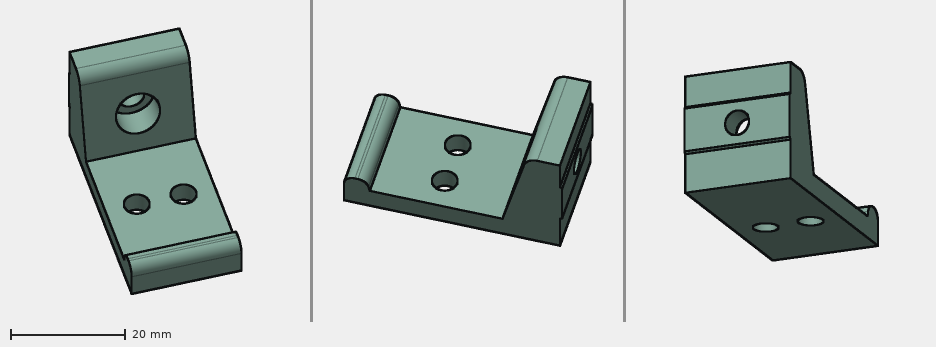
import cadquery as cq
import math

length = 39.6
width = 20.0
height = 21.5
base_thickness = 4.0

pad_projection = 0.4
top_round_start = 4.5
top_round_radius = 2.5
draft_angle = math.radians(14)

wall_hole_height = 11.5
pad_half_height = 4.35

lip_height = 6.5
lip_radius = 2.0
lip_flat_start = 37.05

hole_diameter = 4.5
counterbore_diameter = 8.0
counterbore_floor = 5.0
base_hole_x = 22.9
base_hole_spacing = 8.5


def round_points(center_x, center_z, radius, angles):
    """Points on a circle at the given angles."""
    return [(center_x + radius * math.cos(a), center_z + radius * math.sin(a)) for a in angles]


def make_body():
    """Extrude the side profile across the width."""
    wall_mid, wall_tangent = round_points(
        top_round_start,
        height - top_round_radius,
        top_round_radius,
        [(math.pi / 2 + draft_angle) / 2, draft_angle],
    )
    wall_foot_x = wall_tangent[0] + (wall_tangent[1] - base_thickness) * math.tan(draft_angle)

    lip_center_z = lip_height - lip_radius
    lip_tangent_angle = math.pi - draft_angle
    lip_tangent, lip_inner_mid = round_points(
        lip_flat_start,
        lip_center_z,
        lip_radius,
        [lip_tangent_angle, (lip_tangent_angle + math.pi / 2) / 2],
    )
    lip_foot_x = lip_tangent[0] - (lip_tangent[1] - base_thickness) * math.tan(draft_angle)

    lip_flat_end = length - lip_radius
    lip_outer_mid = round_points(lip_flat_end, lip_center_z, lip_radius, [math.pi / 4])[0]

    pad_bottom = wall_hole_height - pad_half_height
    pad_top = wall_hole_height + pad_half_height

    profile = (
        cq.Workplane("XZ")
        .moveTo(pad_projection, 0)
        .lineTo(pad_projection, pad_bottom)
        .lineTo(0, pad_bottom + pad_projection)
        .lineTo(0, pad_top - pad_projection)
        .lineTo(pad_projection, pad_top)
        .lineTo(pad_projection, height)
        .lineTo(top_round_start, height)
        .threePointArc(wall_mid, wall_tangent)
        .lineTo(wall_foot_x, base_thickness)
        .lineTo(lip_foot_x, base_thickness)
        .lineTo(*lip_tangent)
        .threePointArc(lip_inner_mid, (lip_flat_start, lip_height))
        .lineTo(lip_flat_end, lip_height)
        .threePointArc(lip_outer_mid, (length, lip_center_z))
        .lineTo(length, 0)
        .close()
    )
    return profile.extrude(width / 2, both=True)


def make_wall_hole():
    """Through hole along X, counterbored from the drafted face."""
    axis_plane = cq.Workplane("YZ").center(0, wall_hole_height)
    through_hole = axis_plane.circle(hole_diameter / 2).extrude(length)
    counterbore = (
        axis_plane.workplane(offset=counterbore_floor)
        .circle(counterbore_diameter / 2)
        .extrude(length - counterbore_floor)
    )
    return through_hole.union(counterbore)


def make_base_holes():
    """Pair of vertical through holes in the base."""
    half_spacing = base_hole_spacing / 2
    return (
        cq.Workplane("XY")
        .pushPoints([(base_hole_x, -half_spacing), (base_hole_x, half_spacing)])
        .circle(hole_diameter / 2)
        .extrude(base_thickness)
    )


result = make_body().cut(make_wall_hole()).cut(make_base_holes())